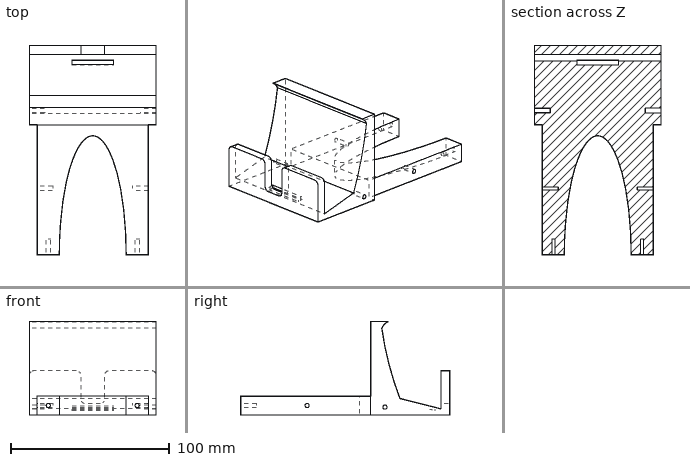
import cadquery as cq
import math

body_width = 80.0
body_depth = 50.0
body_height = 59.0

stop_thickness = 5.8
stop_height = 28.0
floor_low_z = 4.0
floor_high_y = 18.5
floor_high_z = 10.5
rest_mid_y = 11.9
rest_mid_z = 31.0
neck_y = 7.1
neck_z = 54.7
lip_mid_y = 8.4
lip_mid_z = 56.8
lip_depth = 10.8
lip_edge_thickness = 0.3

corner_radius = 3.0
notch_width = 15.0
notch_bottom_z = 7.2

slot_width = 26.0
slot_length = 3.0
slot_center_y = 39.5
slot_depth = 2.0

fork_width = 70.0
fork_length = 82.0
fork_height = 12.0
opening_width = 42.0
opening_depth = 75.0

pin_diameter = 2.62
pin_depth = 10.0
pin_z = fork_height / 2
fork_side_pin_y = -40.0
body_side_pin_y = 9.0
body_side_pin_z = 5.0


def make_cradle():
    """Extrude the side profile: stop wall, sloping floor, curved rest and hooked lip."""
    stop_inner_y = body_depth - stop_thickness
    return (
        cq.Workplane("YZ")
        .moveTo(0, 0)
        .lineTo(body_depth, 0)
        .lineTo(body_depth, stop_height)
        .lineTo(stop_inner_y, stop_height)
        .lineTo(stop_inner_y, floor_low_z)
        .lineTo(floor_high_y, floor_high_z)
        .threePointArc((rest_mid_y, rest_mid_z), (neck_y, neck_z))
        .threePointArc((lip_mid_y, lip_mid_z), (lip_depth, body_height - lip_edge_thickness))
        .lineTo(lip_depth, body_height)
        .lineTo(0, body_height)
        .close()
        .extrude(body_width / 2, both=True)
    )


def cut_notch(cradle):
    """Cut the central notch through the stop wall and round its corners and the wall ends."""
    notch = (
        cq.Workplane("XY")
        .box(notch_width, stop_thickness, body_height, centered=(True, False, False))
        .edges("|Y and <Z")
        .fillet(corner_radius)
        .translate((0, body_depth - stop_thickness, notch_bottom_z))
    )
    notched = cradle.cut(notch)
    top_corner_points = [
        (side * x, body_depth - stop_thickness / 2, stop_height)
        for side in (-1, 1)
        for x in (notch_width / 2, body_width / 2)
    ]
    for point in top_corner_points:
        notched = notched.edges(cq.NearestToPointSelector(point)).fillet(corner_radius)
    return notched


def make_floor_slot():
    """Cutter for the slot, sunk square to the sloping floor."""
    stop_inner_y = body_depth - stop_thickness
    floor_slope = (floor_high_z - floor_low_z) / (stop_inner_y - floor_high_y)
    slot_center_z = floor_low_z + floor_slope * (stop_inner_y - slot_center_y)
    return (
        cq.Workplane("XY")
        .box(slot_width, slot_length, 2 * slot_depth)
        .rotate((0, 0, 0), (1, 0, 0), -math.degrees(math.atan(floor_slope)))
        .translate((0, slot_center_y, slot_center_z))
    )


def make_fork():
    """Flat base plate with a half-elliptical opening in its front edge."""
    plate = cq.Workplane("XY").box(fork_width, fork_length, fork_height, centered=(True, False, False))
    opening = cq.Workplane("XY").ellipse(opening_width / 2, opening_depth).extrude(fork_height)
    return plate.cut(opening).translate((0, -fork_length, 0))


def make_pin(start, direction):
    """Cutter for one blind pin hole."""
    pin = cq.Solid.makeCylinder(pin_diameter / 2, pin_depth, cq.Vector(start), cq.Vector(direction))
    return cq.Workplane(pin)


def cut_pins(part):
    """Holes in each prong tip, each outer prong side and each end of the cradle."""
    prong_center_x = (fork_width + opening_width) / 4
    for side in (-1, 1):
        inward = (-side, 0, 0)
        part = part.cut(make_pin((side * prong_center_x, -fork_length, pin_z), (0, 1, 0)))
        part = part.cut(make_pin((side * fork_width / 2, fork_side_pin_y, pin_z), inward))
        part = part.cut(make_pin((side * body_width / 2, body_side_pin_y, body_side_pin_z), inward))
    return part


cradle = cut_notch(make_cradle()).cut(make_floor_slot())
result = cut_pins(cradle.union(make_fork()))